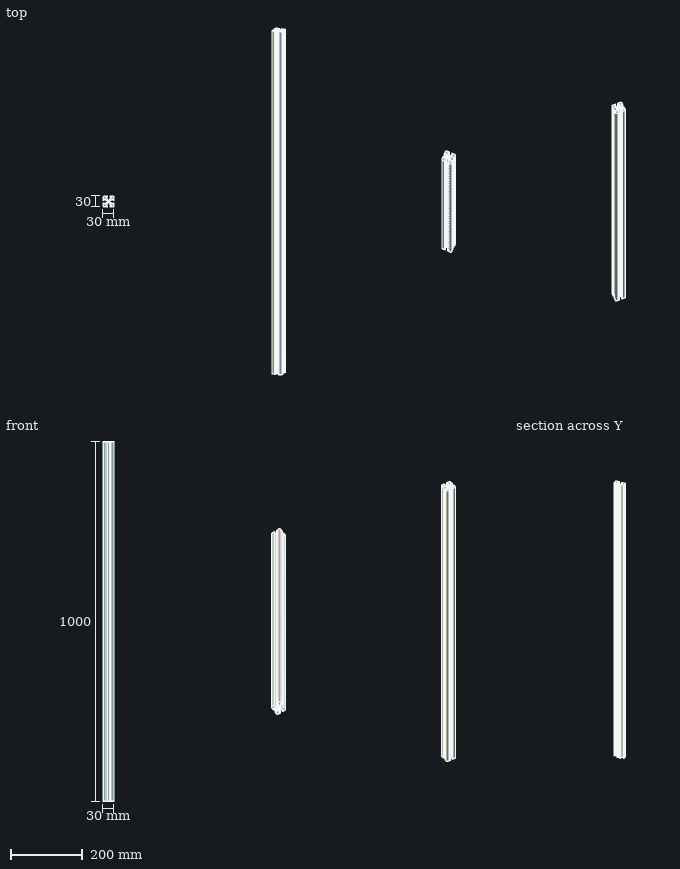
import cadquery as cq

side = 30.0
length = 1000.0
corner_radius = 3.2
bore_diameter = 5.0

slot_opening = 7.0
lip_thickness = 2.3
cavity_width = 13.4
cavity_wall_depth = 4.5
slot_depth = 8.4
floor_width = 6.3
groove_width = 5.6
groove_depth = 2.2

face_angles = (0, 90, 180, 270)


def make_bar():
    """Square bar with rounded long edges."""
    bar = cq.Workplane("XY").rect(side, side).extrude(length)
    return bar.edges("|Z").fillet(corner_radius)


def make_bore():
    """Central hole through the whole length."""
    return cq.Workplane("XY").circle(bore_diameter / 2).extrude(length)


def make_slot(angle):
    """Full-length T-slot with a grooved floor, turned about Z to one face."""
    face_x = side / 2
    lip_x = face_x - lip_thickness
    wall_x = face_x - cavity_wall_depth
    floor_x = face_x - slot_depth
    groove_x = floor_x - groove_depth
    half_outline = [
        (face_x, slot_opening / 2),
        (lip_x, slot_opening / 2),
        (lip_x, cavity_width / 2),
        (wall_x, cavity_width / 2),
        (floor_x, floor_width / 2),
        (floor_x, groove_width / 2),
        (groove_x, groove_width / 2),
    ]
    mirrored_half = [(x, -y) for x, y in reversed(half_outline)]
    slot = cq.Workplane("XY").polyline(half_outline + mirrored_half).close().extrude(length)
    return slot.rotate((0, 0, 0), (0, 0, 1), angle)


result = make_bar().cut(make_bore())
for face_angle in face_angles:
    result = result.cut(make_slot(face_angle))